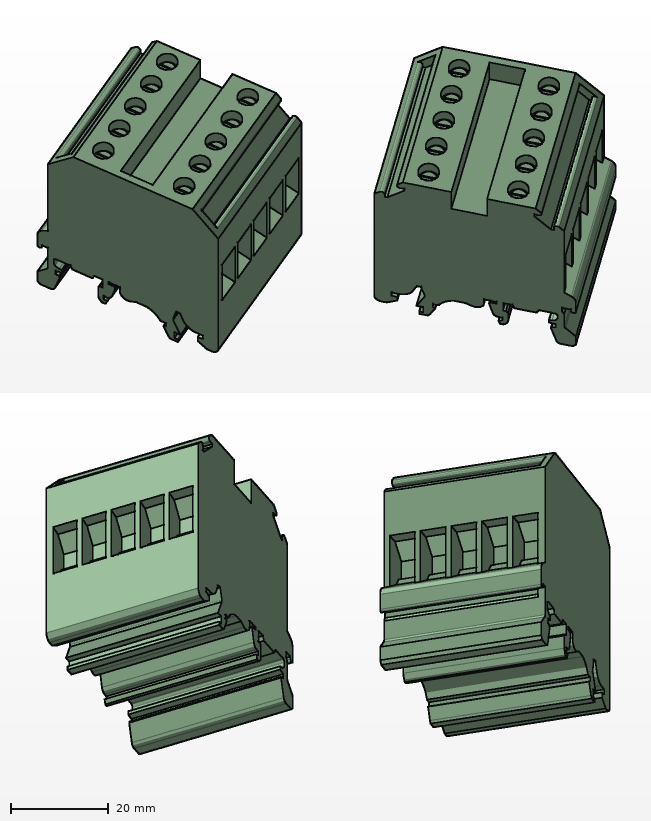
import cadquery as cq

length = 42.5
width = 35.0
height = 46.4

wall_x = 2.45
housing_mid = (wall_x + length) / 2
chamfer = 6.05
shoulder_z = height - chamfer
end_plate = 1.6

terminals = 5
pitch = (width - end_plate) / terminals

channel_width = 7.5
channel_depth = 6.0

screw_diameter = 4.3
screw_depth = 2.3
screw_bevel = 0.4
screw_spread = 18.95
screw_offset = 2.9
slot_width = 0.9
slot_depth = 0.45

pocket_width = 5.48
pocket_top = 30.15
pocket_draft = 0.18

ceiling_z = 10.45
ledge_z = 18.5
ledge_tip_x = 1.0
ledge_tip_z = 17.7
ledge_slope = (ledge_z - ledge_tip_z) / (wall_x - ledge_tip_x)
hook_roof_z = 12.95
hook_thickness = 1.05
hook_end_z = 12.45
catch_z = 5.2
relief_z = 10.85
relief_depth = 0.5
relief_rise = 0.95


def mirror_x(solid):
    """The same solid on the other side of the housing's middle plane."""
    return solid.mirror("YZ", (housing_mid, 0, 0))


def along_y(outline, start, end):
    """Extrude a closed XZ outline from Y = start to Y = end."""
    return outline.extrude(start - end).translate((0, start, 0))


def section():
    """The full XZ outline, run clockwise from the left shoulder."""
    outline = (
        cq.Workplane("XZ")
        .moveTo(wall_x, shoulder_z)
        .lineTo(wall_x + chamfer, height)
        .lineTo(length - chamfer, height)
        .lineTo(length, shoulder_z)
    )
    outline = (
        outline.lineTo(length, 4.18)
        .threePointArc((42.15, 3.15), (41.2, 2.55))
        .lineTo(39.85, 2.55)
        .lineTo(37.65, 4.0)
        .lineTo(37.65, catch_z)
        .lineTo(38.9, catch_z + 0.2)
        .lineTo(38.9, 6.45)
        .lineTo(36.95, 6.45)
        .threePointArc((35.35, 7.15), (34.45, 8.25))
        .lineTo(33.55, ceiling_z)
        .lineTo(32.6, ceiling_z)
    )
    outline = (
        outline.lineTo(31.9, 7.85)
        .lineTo(31.9, 7.3)
        .lineTo(33.65, 3.45)
        .lineTo(32.2, 3.45)
        .lineTo(32.2, 1.62)
        .lineTo(33.05, 1.62)
        .lineTo(33.05, 0.8)
        .lineTo(31.2, 0.8)
        .lineTo(30.75, 1.35)
        .lineTo(29.6, 3.9)
        .lineTo(30.2, 4.25)
        .lineTo(30.2, catch_z)
        .lineTo(28.9, catch_z)
    )
    outline = (
        outline.threePointArc((27.5, 6.9), (25.6, 7.85))
        .lineTo(23.25, 7.85)
        .lineTo(21.95, 7.3)
        .threePointArc((20.15, 7.5), (19.35, 9.1))
        .lineTo(19.45, ceiling_z)
    )
    outline = (
        outline.lineTo(16.7, ceiling_z)
        .lineTo(16.7, 9.85)
        .lineTo(18.1, 9.85)
        .lineTo(18.35, 9.4)
        .lineTo(17.55, 6.25)
        .threePointArc((17.1, 5.55), (16.43, catch_z))
        .lineTo(15.5, catch_z)
        .lineTo(15.5, 4.25)
        .lineTo(16.35, 3.95)
        .lineTo(16.0, 2.9)
        .lineTo(15.3, 2.9)
        .threePointArc((14.55, 3.6), (14.3, 4.5))
        .lineTo(14.3, 7.3)
        .lineTo(14.75, 7.85)
        .lineTo(15.35, 7.85)
        .lineTo(15.35, ceiling_z)
    )
    outline = (
        outline.lineTo(13.35, ceiling_z)
        .lineTo(13.0, 9.4)
        .lineTo(8.25, 9.4)
        .lineTo(7.75, ceiling_z)
        .lineTo(4.45, ceiling_z)
        .threePointArc((4.05, 10.25), (3.85, 9.85))
        .lineTo(3.85, 9.05)
        .threePointArc((4.2, 8.2), (5.1, 7.85))
    )
    outline = (
        outline.lineTo(5.7, 7.65)
        .lineTo(5.7, 6.8)
        .lineTo(4.25, 6.6)
        .lineTo(4.25, 5.5)
        .lineTo(5.1, 5.45)
        .lineTo(5.3, 5.0)
        .lineTo(4.15, 0.85)
        .threePointArc((3.75, 0.25), (3.1, 0))
        .lineTo(0.65, 0)
        .lineTo(0, 0.75)
        .lineTo(0, 3.75)
        .lineTo(wall_x - 0.2, 6.05)
        .threePointArc((wall_x - 0.05, 6.3), (wall_x, 6.65))
    )
    outline = (
        outline.lineTo(wall_x, hook_roof_z)
        .lineTo(hook_thickness, hook_roof_z)
        .lineTo(hook_thickness, hook_end_z)
        .threePointArc((hook_thickness / 2, hook_end_z - hook_thickness / 2), (0, hook_end_z))
        .lineTo(0, 15.85)
        .threePointArc((0.3, 16.9), (ledge_tip_x, ledge_tip_z))
        .lineTo(wall_x, ledge_z)
    )
    return outline.close()


def marker_groove():
    """Undercut groove along the left chamfer, between two rounded lips."""
    lip = 1.1
    lip_round = 1.05
    lip_end = wall_x + lip + lip_round
    lip_crown = 0.1
    lip_drop = 0.4
    floor_drop = 0.32
    floor_z = shoulder_z - floor_drop
    floor_end = 5.25
    swap = wall_x + height
    lower = (wall_x + lip, shoulder_z + lip)
    lower_mid = (wall_x + lip + 0.6 * lip_round, shoulder_z + lip + lip_crown)
    lower_end = (lip_end, shoulder_z + lip - lip_drop)

    def swapped(point):
        return (swap - point[1], swap - point[0])

    outline = (
        cq.Workplane("XZ")
        .moveTo(*lower)
        .threePointArc(lower_mid, lower_end)
        .lineTo(lip_end, floor_z)
        .lineTo(floor_end, floor_z)
        .lineTo(*swapped((floor_end, floor_z)))
        .lineTo(*swapped((lip_end, floor_z)))
        .lineTo(*swapped(lower_end))
        .threePointArc(swapped(lower_mid), swapped(lower))
        .lineTo(wall_x, height)
        .close()
    )
    return along_y(outline, end_plate, width)


def hook_relief():
    """Extra depth in the wall behind the hook, stopped by the end plate."""
    outline = (
        cq.Workplane("XZ")
        .moveTo(wall_x, relief_z)
        .lineTo(wall_x + relief_depth, relief_z + relief_rise)
        .lineTo(wall_x + relief_depth, hook_roof_z)
        .lineTo(wall_x, hook_roof_z)
        .close()
    )
    return along_y(outline, end_plate, width)


def channel():
    """Rectangular channel in the top, stopped by the end plate."""
    block = cq.Workplane("XY").box(
        channel_width, width - end_plate, channel_depth, centered=(True, False, False)
    )
    return block.translate((housing_mid, end_plate, height - channel_depth))


def screw_hole(x, y):
    """Blind hole with a bevelled, slotted screw head at its bottom."""
    head_z = height - screw_depth
    radius = screw_diameter / 2
    cone = cq.Solid.makeCone(radius, radius - screw_bevel, screw_bevel, (x, y, head_z - screw_bevel))
    head = cq.Workplane("XY").add(cone)
    hole = cq.Workplane("XY", (x, y, height)).circle(radius).extrude(-screw_depth - screw_bevel)
    slot = cq.Workplane("XY", (x, y, head_z)).rect(screw_diameter, slot_width).extrude(-slot_depth)
    return hole.cut(head.cut(slot))


def wire_pocket(start_y):
    """Funnel-shaped pocket in the left wall whose far side narrows with depth."""
    back_x = 7.3
    roof_x = 4.7
    floor_x = 5.2
    step_x = 6.12
    step_z = 21.7
    back_top_z = 26.3
    roof_z = 29.75
    floor_z = ledge_z + ledge_slope * (floor_x - wall_x)
    outline = (
        cq.Workplane("XZ")
        .moveTo(wall_x, ledge_z)
        .lineTo(floor_x, floor_z)
        .lineTo(step_x, step_z)
        .lineTo(back_x, step_z)
        .lineTo(back_x, back_top_z)
        .lineTo(roof_x, roof_z)
        .lineTo(wall_x, pocket_top)
        .close()
    )
    funnel = (
        cq.Workplane("XY", (0, 0, ledge_z))
        .moveTo(wall_x, start_y)
        .lineTo(back_x, start_y)
        .lineTo(back_x, start_y + pocket_width - pocket_draft * (back_x - wall_x))
        .lineTo(wall_x, start_y + pocket_width)
        .close()
        .extrude(pocket_top - ledge_z)
    )
    return along_y(outline, start_y, start_y + pocket_width).intersect(funnel)


result = along_y(section(), 0, width).cut(channel()).cut(hook_relief())

groove = marker_groove()
result = result.cut(groove).cut(mirror_x(groove))

for index in range(terminals):
    module_y = end_plate + index * pitch
    pocket = wire_pocket(module_y)
    result = result.cut(pocket).cut(mirror_x(pocket))
    for side in (-1, 1):
        result = result.cut(screw_hole(housing_mid + side * screw_spread / 2, module_y + screw_offset))